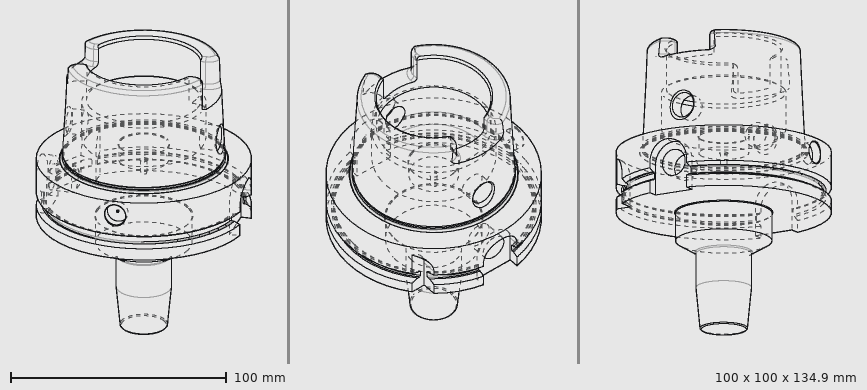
import cadquery as cq
import math

TOTAL_HEIGHT = 134.9
FLANGE_TOP = 85.0
FLANGE_BOTTOM = 56.0
SHANK_BOTTOM = 42.4
NECK_TOP = 36.7
NECK_FILLET = 0.8
NOSE_TOP = 20.0
TIP_CHAMFER = 0.5

FLANGE_DIAMETER = 100.0
FLANGE_RADIUS = FLANGE_DIAMETER / 2
SHANK_RADIUS = 22.4
SHANK_RELIEF = 0.4
NECK_RADIUS = 13.0
TIP_RADIUS = 11.0

TAPER_BOTTOM = 87.4
TAPER_BASE_RADIUS = 37.8
TAPER_TOP_RADIUS = 35.5
RELIEF_DEPTH = 0.5
COLLAR_TOP = 86.0
COLLAR_RADIUS = 38.0
FACE_RECESS_RADIUS = 39.3
FACE_RECESS_DEPTH = 0.3
COLLAR_FILLET = 0.8

GROOVE_TOP = 68.0
GROOVE_BOTTOM = 61.6
GROOVE_FLANK_HEIGHT = 1.3
GROOVE_FLANK_RADIUS = 47.5
GROOVE_RADIUS = 46.1
GROOVE_FILLET = 0.5

MOUTH_RADIUS = 26.6
MOUTH_CHAMFER_WIDTH = 0.8
MOUTH_CHAMFER_HEIGHT = 1.3
LIP_BOTTOM = 115.0
LIP_SLOPE = 30.0
UNDERCUT_RADIUS = 28.9
UNDERCUT_TOP = LIP_BOTTOM - (UNDERCUT_RADIUS - MOUTH_RADIUS) * math.tan(math.radians(LIP_SLOPE))
CAVITY_FLOOR = 92.5
CAVITY_FILLET = 4.0

CENTRE_BORE_RADIUS = 11.6
CENTRE_BORE_DEPTH = 8.1
CENTRE_BORE_CHAMFER = 0.4
COOLANT_HOLE_RADIUS = 1.5
COOLANT_HOLE_DEPTH = 6.7
COOLANT_HOLE_CHAMFER = 0.5

KEY_WIDTH = 20.0
LEFT_SLOT_DEPTH = 10.0
RIGHT_SLOT_DEPTH = 15.0
FINGER_HALF_LENGTH = 32.4
FINGER_CORNER_RADIUS = 5.4
SLOT_FLOOR_FILLET = 1.9
RIM_FILLET = 1.9

CROSS_HOLE_HEIGHT = 99.7
CROSS_HOLE_RADIUS = 5.8
CROSS_HOLE_MOUTH_RADIUS = 7.0
CROSS_HOLE_SURFACE = 37.1

KEYWAY_CENTRE_HEIGHT = 70.3
KEYWAY_FLOOR = 44.0
NOTCH_FLOOR = 31.7
NOTCH_WALL = 31.4
KEYWAY_HOLE_RADIUS = 6.2
KEYWAY_HOLE_DEPTH = 10.8
DRILL_POINT_ANGLE = 118.0

CHIP_HEIGHT = 78.0
CHIP_RADIUS = 5.0
CHIP_DEPTH = 4.6
CHIP_CHAMFER = 0.4
CHIP_PILOT_RADIUS = 0.5
CHIP_PILOT_DEPTH = 0.7

CLEARANCE = 6.7


def revolved(points):
    """Solid of revolution about Z from (radius, height) points."""
    return cq.Workplane("YZ").polyline(points).close().revolve(360, (0, 0), (0, 1))


def frustum(start, direction, radius, end_radius, length):
    """Cylinder or cone from a start point along a direction."""
    place = cq.Vector(*start)
    axis = cq.Vector(*direction)
    if radius == end_radius:
        return cq.Workplane(obj=cq.Solid.makeCylinder(radius, length, place, axis))
    return cq.Workplane(obj=cq.Solid.makeCone(radius, end_radius, length, place, axis))


def fillet_ring(body, radius, low, high, fillet_radius):
    """Fillet the circular edges of one radius that lie between two heights."""
    margin = 0.01
    rings = [
        edge for edge in body.edges("%CIRCLE").vals()
        if abs(edge.radius() - radius) < margin and low - margin < edge.Center().z < high + margin
    ]
    return body.newObject(rings).fillet(fillet_radius)


def outer_body():
    recess_floor = FLANGE_TOP - FACE_RECESS_DEPTH
    relief_radius = TAPER_BASE_RADIUS - RELIEF_DEPTH
    body = revolved([
        (0, 0),
        (TIP_RADIUS - TIP_CHAMFER, 0),
        (TIP_RADIUS, TIP_CHAMFER),
        (NECK_RADIUS, NOSE_TOP),
        (NECK_RADIUS, NECK_TOP),
        (SHANK_RADIUS, SHANK_BOTTOM),
        (SHANK_RADIUS, FLANGE_BOTTOM - SHANK_RELIEF),
        (SHANK_RADIUS + SHANK_RELIEF, FLANGE_BOTTOM),
        (FLANGE_RADIUS, FLANGE_BOTTOM),
        (FLANGE_RADIUS, GROOVE_BOTTOM),
        (GROOVE_FLANK_RADIUS, GROOVE_BOTTOM + GROOVE_FLANK_HEIGHT),
        (GROOVE_RADIUS, GROOVE_BOTTOM + GROOVE_FLANK_HEIGHT),
        (GROOVE_RADIUS, GROOVE_TOP - GROOVE_FLANK_HEIGHT),
        (GROOVE_FLANK_RADIUS, GROOVE_TOP - GROOVE_FLANK_HEIGHT),
        (FLANGE_RADIUS, GROOVE_TOP),
        (FLANGE_RADIUS, FLANGE_TOP),
        (FACE_RECESS_RADIUS, FLANGE_TOP),
        (FACE_RECESS_RADIUS - FACE_RECESS_DEPTH, recess_floor),
        (COLLAR_RADIUS, recess_floor),
        (COLLAR_RADIUS, COLLAR_TOP),
        (relief_radius, COLLAR_TOP),
        (relief_radius, TAPER_BOTTOM - RELIEF_DEPTH),
        (TAPER_BASE_RADIUS, TAPER_BOTTOM),
        (TAPER_TOP_RADIUS, TOTAL_HEIGHT),
        (0, TOTAL_HEIGHT),
    ])
    body = fillet_ring(body, GROOVE_RADIUS, GROOVE_BOTTOM, GROOVE_TOP, GROOVE_FILLET)
    body = fillet_ring(body, COLLAR_RADIUS, recess_floor, COLLAR_TOP - COLLAR_FILLET / 2, COLLAR_FILLET)
    body = fillet_ring(body, NECK_RADIUS, NOSE_TOP + NECK_FILLET, NECK_TOP, NECK_FILLET)
    return fillet_ring(body, TAPER_TOP_RADIUS, TAPER_BOTTOM, TOTAL_HEIGHT, RIM_FILLET)


def cavity():
    bore_floor = CAVITY_FLOOR - CENTRE_BORE_DEPTH
    hole_floor = bore_floor - COOLANT_HOLE_DEPTH
    return (
        cq.Workplane("YZ")
        .polyline([
            (0, hole_floor),
            (COOLANT_HOLE_RADIUS, hole_floor),
            (COOLANT_HOLE_RADIUS, bore_floor - COOLANT_HOLE_CHAMFER),
            (COOLANT_HOLE_RADIUS + COOLANT_HOLE_CHAMFER, bore_floor),
            (CENTRE_BORE_RADIUS, bore_floor),
            (CENTRE_BORE_RADIUS, CAVITY_FLOOR - CENTRE_BORE_CHAMFER),
            (CENTRE_BORE_RADIUS + CENTRE_BORE_CHAMFER, CAVITY_FLOOR),
            (UNDERCUT_RADIUS - CAVITY_FILLET, CAVITY_FLOOR),
        ])
        .tangentArcPoint((UNDERCUT_RADIUS, CAVITY_FLOOR + CAVITY_FILLET), relative=False)
        .lineTo(UNDERCUT_RADIUS, UNDERCUT_TOP)
        .lineTo(MOUTH_RADIUS, LIP_BOTTOM)
        .lineTo(MOUTH_RADIUS, TOTAL_HEIGHT)
        .lineTo(0, TOTAL_HEIGHT)
        .close()
        .revolve(360, (0, 0), (0, 1))
    )


def mouth_chamfer():
    rim_radius = MOUTH_RADIUS + MOUTH_CHAMFER_WIDTH
    start = (0, 0, TOTAL_HEIGHT - MOUTH_CHAMFER_HEIGHT)
    return frustum(start, (0, 0, 1), MOUTH_RADIUS, rim_radius, MOUTH_CHAMFER_HEIGHT)


def finger(side):
    """Block that bounds a pair of drive faces on one side in Y, with rounded corners and top edge."""
    length = FLANGE_RADIUS
    centre_y = side * (KEY_WIDTH + length) / 2
    block = cq.Workplane("XY", origin=(0, centre_y, 0)).rect(2 * FINGER_HALF_LENGTH, length)
    block = block.extrude(TOTAL_HEIGHT).edges("|Z").fillet(FINGER_CORNER_RADIUS)
    return block.faces(">Z").edges().fillet(RIM_FILLET)


def driving_slot(side, depth):
    """Space left around the two fingers on one side in X, with a filleted floor."""
    half_size = FLANGE_RADIUS
    floor = TOTAL_HEIGHT - depth
    block = cq.Workplane("XY", origin=(half_size / 2, 0, floor)).rect(half_size, KEY_WIDTH + half_size)
    slot = block.extrude(depth).cut(finger(-1)).cut(finger(1))
    around_fingers = cq.selectors.BoxSelector(
        (CLEARANCE, -half_size, floor - CLEARANCE),
        (FINGER_HALF_LENGTH + CLEARANCE, half_size, floor + CLEARANCE),
    )
    slot = slot.faces("<Z").edges(around_fingers).fillet(SLOT_FLOOR_FILLET)
    return slot if side > 0 else slot.mirror("YZ")


def cross_hole():
    """Hole along X through both taper walls, countersunk from the outside."""
    widening = CROSS_HOLE_MOUTH_RADIUS - CROSS_HOLE_RADIUS
    sink_start = CROSS_HOLE_SURFACE - widening
    sink_end = CROSS_HOLE_SURFACE + widening
    end_radius = CROSS_HOLE_MOUTH_RADIUS + widening
    return (
        cq.Workplane("XY", origin=(0, 0, CROSS_HOLE_HEIGHT))
        .polyline([
            (-sink_end, 0),
            (-sink_end, end_radius),
            (-sink_start, CROSS_HOLE_RADIUS),
            (sink_start, CROSS_HOLE_RADIUS),
            (sink_end, end_radius),
            (sink_end, 0),
        ])
        .close()
        .revolve(360, (0, 0, 0), (1, 0, 0))
    )


def round_topped_slot(side, floor, centre_y):
    """Flange slot cut along X down to a flat floor, open below and round at the top."""
    half = KEY_WIDTH / 2
    outline = (
        cq.Workplane("YZ", origin=(side * floor, 0, 0))
        .moveTo(centre_y - half, FLANGE_BOTTOM)
        .lineTo(centre_y - half, KEYWAY_CENTRE_HEIGHT)
        .threePointArc((centre_y, KEYWAY_CENTRE_HEIGHT + half), (centre_y + half, KEYWAY_CENTRE_HEIGHT))
        .lineTo(centre_y + half, FLANGE_BOTTOM)
        .close()
    )
    return outline.extrude(side * (FLANGE_RADIUS + CLEARANCE - floor))


def keyway_hole():
    """Drilled hole with a conical bottom in the floor of the left keyway."""
    point_length = KEYWAY_HOLE_RADIUS / math.tan(math.radians(DRILL_POINT_ANGLE / 2))
    inward = (1, 0, 0)
    hole = frustum(
        (-KEYWAY_FLOOR, 0, KEYWAY_CENTRE_HEIGHT), inward,
        KEYWAY_HOLE_RADIUS, KEYWAY_HOLE_RADIUS, KEYWAY_HOLE_DEPTH,
    )
    point = frustum(
        (KEYWAY_HOLE_DEPTH - KEYWAY_FLOOR, 0, KEYWAY_CENTRE_HEIGHT), inward,
        KEYWAY_HOLE_RADIUS, 0, point_length,
    )
    return hole.union(point)


def chip_pocket():
    floor = CHIP_DEPTH - FLANGE_RADIUS
    outward = (0, -1, 0)
    pocket = frustum((0, floor, CHIP_HEIGHT), outward, CHIP_RADIUS, CHIP_RADIUS, CHIP_DEPTH + CLEARANCE)
    sink = frustum(
        (0, CHIP_CHAMFER - FLANGE_RADIUS, CHIP_HEIGHT), outward,
        CHIP_RADIUS, CHIP_RADIUS + 2 * CHIP_CHAMFER, 2 * CHIP_CHAMFER,
    )
    pilot = frustum(
        (0, floor + CHIP_PILOT_DEPTH, CHIP_HEIGHT), outward,
        CHIP_PILOT_RADIUS, CHIP_PILOT_RADIUS, CHIP_PILOT_DEPTH,
    )
    return pocket.union(sink).union(pilot)


result = outer_body().cut(cavity()).cut(mouth_chamfer())
result = result.cut(driving_slot(-1, LEFT_SLOT_DEPTH)).cut(driving_slot(1, RIGHT_SLOT_DEPTH))

for side in (-1, 1):
    result = result.cut(round_topped_slot(side, KEYWAY_FLOOR, 0))

result = result.cut(round_topped_slot(-1, NOTCH_FLOOR, NOTCH_WALL + KEY_WIDTH / 2))
result = result.cut(cross_hole()).cut(keyway_hole()).cut(chip_pocket())